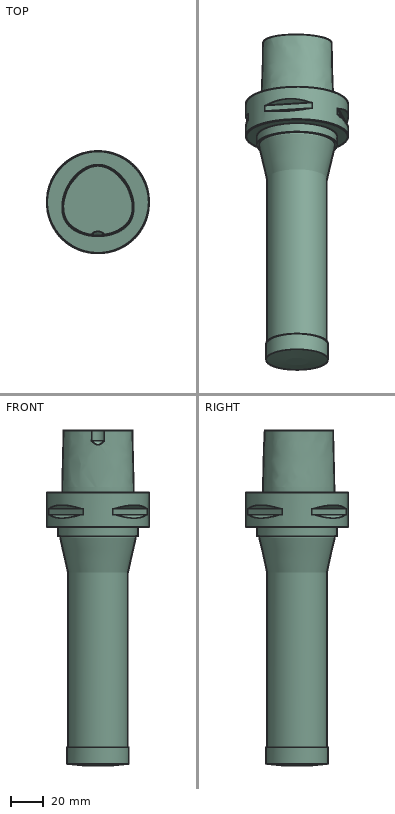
import cadquery as cq
import math

TOTAL_HEIGHT = 206.0
TIP_BEVEL_HEIGHT = 1.2
TIP_TOP = 11.5
CONE_BOTTOM = 118.7
NECK_BOTTOM = 140.0
COLLAR_BOTTOM = 141.1
FLANGE_BOTTOM = 146.5
FLANGE_TOP = 168.0
TAPER_BOTTOM = 171.2

TIP_DIAMETER = 38.1
TIP_FACE_DIAMETER = 13.5
SHAFT_DIAMETER = 36.9
NECK_DIAMETER = 46.5
COLLAR_DIAMETER = 49.5
FLANGE_DIAMETER = 63.0
FLANGE_CHAMFER = 0.5

SHANK_BASE_RADIUS = 22.0
SHANK_TOP_RADIUS = 21.2
LOBE_HEIGHT = 1.0
LOBE_CURVE_POINTS = 48

NOTCH_DIAMETER = 9.5
NOTCH_AXIS_Y = -22.7
NOTCH_STRAIGHT_DEPTH = 6.4
NOTCH_CONE_HEIGHT = NOTCH_DIAMETER / 2

SLOT_COUNT = 4
SLOT_FIRST_ANGLE = 45.0
SLOT_CENTER_HEIGHT = 156.1
SLOT_FLOOR_RADIUS = 27.8
SLOT_FLARE_RADIUS = 28.5
SLOT_FLOOR_WIDTH = 3.7
SLOT_MOUTH_WIDTH = 8.0


def make_lobed_wire(mean_radius, height):
    """Closed three-lobed curve with one lobe pointing along +Y."""
    points = []
    for index in range(LOBE_CURVE_POINTS):
        angle = 2 * math.pi * index / LOBE_CURVE_POINTS
        toward_flat = (
            mean_radius * math.cos(angle)
            - 2 * LOBE_HEIGHT * math.cos(2 * angle)
            + LOBE_HEIGHT * math.cos(4 * angle)
        )
        sideways = (
            mean_radius * math.sin(angle)
            + 2 * LOBE_HEIGHT * math.sin(2 * angle)
            + LOBE_HEIGHT * math.sin(4 * angle)
        )
        points.append(cq.Vector(sideways, -toward_flat, height))
    return cq.Wire.assembleEdges([cq.Edge.makeSpline(points, periodic=True)])


def make_shank():
    """Short straight foot below a tapered three-lobed shank."""
    foot_wire = make_lobed_wire(SHANK_BASE_RADIUS, FLANGE_TOP)
    foot_height = TAPER_BOTTOM - FLANGE_TOP
    foot = cq.Solid.extrudeLinear(foot_wire, [], cq.Vector(0, 0, foot_height))
    taper = cq.Solid.makeLoft([
        make_lobed_wire(SHANK_BASE_RADIUS, TAPER_BOTTOM),
        make_lobed_wire(SHANK_TOP_RADIUS, TOTAL_HEIGHT),
    ], True)
    return cq.Workplane(foot).union(cq.Workplane(taper))


def make_key_notch():
    """Vertical drill shape that cuts the key notch, revolved about its own axis."""
    radius = NOTCH_DIAMETER / 2
    shoulder = TOTAL_HEIGHT - NOTCH_STRAIGHT_DEPTH
    profile = [
        (0, TOTAL_HEIGHT),
        (radius, TOTAL_HEIGHT),
        (radius, shoulder),
        (0, shoulder - NOTCH_CONE_HEIGHT),
    ]
    cutter = cq.Workplane("XZ").polyline(profile).close().revolve(360, (0, 0), (0, 1))
    return cutter.translate((0, NOTCH_AXIS_Y, 0))


def make_turned_body():
    """Shaft, cone, neck, collar and flange as one turned shape."""
    shaft_radius = SHAFT_DIAMETER / 2
    neck_radius = NECK_DIAMETER / 2
    collar_radius = COLLAR_DIAMETER / 2
    flange_radius = FLANGE_DIAMETER / 2
    profile = [
        (0, TIP_TOP),
        (shaft_radius, TIP_TOP),
        (shaft_radius, CONE_BOTTOM),
        (neck_radius, NECK_BOTTOM),
        (neck_radius, COLLAR_BOTTOM),
        (collar_radius, COLLAR_BOTTOM),
        (collar_radius, FLANGE_BOTTOM),
        (flange_radius - FLANGE_CHAMFER, FLANGE_BOTTOM),
        (flange_radius, FLANGE_BOTTOM + FLANGE_CHAMFER),
        (flange_radius, FLANGE_TOP - FLANGE_CHAMFER),
        (flange_radius - FLANGE_CHAMFER, FLANGE_TOP),
        (0, FLANGE_TOP),
    ]
    return cq.Workplane("XZ").polyline(profile).close().revolve(360, (0, 0), (0, 1))


def make_gripper_slot(angle):
    """Straight groove across the flange rim, with low upright walls that flare out to the rim."""
    rim_radius = FLANGE_DIAMETER / 2
    half_floor = SLOT_FLOOR_WIDTH / 2
    half_mouth = SLOT_MOUTH_WIDTH / 2
    section = [
        (SLOT_FLOOR_RADIUS, SLOT_CENTER_HEIGHT - half_floor),
        (SLOT_FLARE_RADIUS, SLOT_CENTER_HEIGHT - half_floor),
        (rim_radius, SLOT_CENTER_HEIGHT - half_mouth),
        (rim_radius, SLOT_CENTER_HEIGHT + half_mouth),
        (SLOT_FLARE_RADIUS, SLOT_CENTER_HEIGHT + half_floor),
        (SLOT_FLOOR_RADIUS, SLOT_CENTER_HEIGHT + half_floor),
    ]
    groove = cq.Workplane("XZ").polyline(section).close().extrude(rim_radius, both=True)
    return groove.rotate((0, 0, 0), (0, 0, 1), angle)


def make_holder():
    """Lobed shank, slotted flange and long shaft in one piece."""
    holder = make_turned_body().union(make_shank()).cut(make_key_notch())
    for index in range(SLOT_COUNT):
        holder = holder.cut(make_gripper_slot(SLOT_FIRST_ANGLE + index * 360 / SLOT_COUNT))
    return holder


def make_tip():
    """Slightly wider end piece with a shallow conical underside and a flat center."""
    tip_radius = TIP_DIAMETER / 2
    profile = [
        (0, 0),
        (TIP_FACE_DIAMETER / 2, 0),
        (tip_radius, TIP_BEVEL_HEIGHT),
        (tip_radius, TIP_TOP),
        (0, TIP_TOP),
    ]
    return cq.Workplane("XZ").polyline(profile).close().revolve(360, (0, 0), (0, 1))


holder = make_holder()
tip = make_tip()
result = cq.Compound.makeCompound([holder.val(), tip.val()])